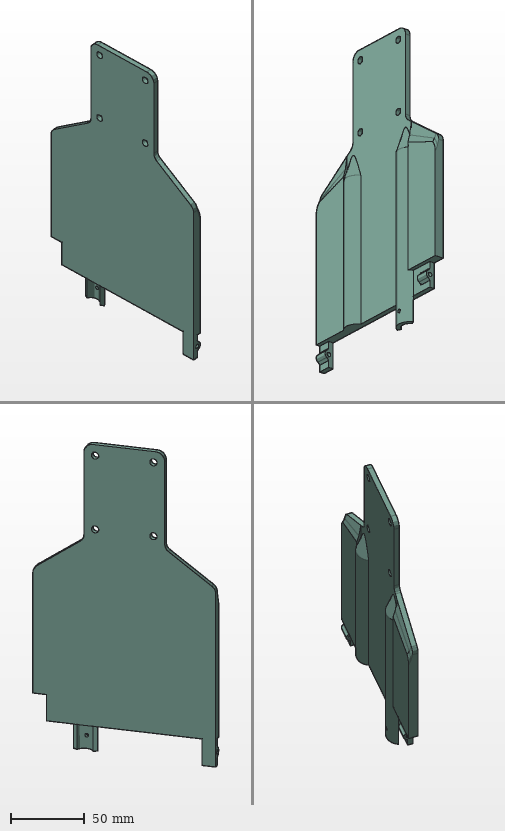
import cadquery as cq
import math

PLATE_WIDTH = 130.0
PLATE_HEIGHT = 225.55
PLATE_THICKNESS = 4.0
HALF_WIDTH = PLATE_WIDTH / 2
BODY_BOTTOM = 19.4
CORNER_RADIUS = 6.5

NECK_WIDTH = 57.5
NECK_BASE = 155.5
SHOULDER_ANGLE = 35.0
HALF_NECK = NECK_WIDTH / 2
SHOULDER_SLOPE = math.tan(math.radians(SHOULDER_ANGLE))
SHOULDER_BASE = NECK_BASE - (HALF_WIDTH - HALF_NECK) * SHOULDER_SLOPE

CORNER_TANGENT_LENGTH = CORNER_RADIUS * math.tan(math.radians((90 - SHOULDER_ANGLE) / 2))
CORNER_TANGENT_X = HALF_WIDTH - CORNER_TANGENT_LENGTH * math.cos(math.radians(SHOULDER_ANGLE))

MOUNT_HOLE_DIAMETER = 5.0
MOUNT_HOLE_INSET = 8.0
MOUNT_HOLE_PITCH = 54.0

PAD_BACK = 7.0
PAD_STEP_BACK = 5.5

PAD_STEP_INNER_DROP = 10.5
PAD_STEP_CORNER_DROP = 4.0
PAD_STEP_SIDE_DROP = 6.0
PAD_INNER_DROP = 16.5
PAD_CORNER_DROP = 7.0
PAD_SIDE_DROP = 9.5

HINGE_WIDTH = 9.75
NOTCH_TOP = 38.6
HINGE_X = HALF_WIDTH - HINGE_WIDTH
PIN_DIAMETER = 3.0
PIN_Y = 3.7
LUG_RADIUS = PAD_BACK - PIN_Y
LUG_FILLET = 4.0
NOTCH_PIN_Z = (NOTCH_TOP + BODY_BOTTOM) / 2
TAB_PIN_Z = BODY_BOTTOM / 2

RIB_X = 28.65
RIB_RADIUS = 9.53
RIB_BORE_RADIUS = 6.35
RIB_TOP = 149.0
RIB_TAPER_LENGTH = 18.0
RIB_HALF_CHORD = math.sqrt(RIB_RADIUS**2 - PLATE_THICKNESS**2)
SOCKET_HOLE_DIAMETER = 2.5

PAD_INNER = RIB_X + math.sqrt(RIB_RADIUS**2 - PAD_BACK**2)


def plate_profile():
    """Plate outline with square corners, in the XZ plane."""
    return (
        cq.Workplane("XZ")
        .moveTo(-HALF_NECK, PLATE_HEIGHT)
        .lineTo(HALF_NECK, PLATE_HEIGHT)
        .lineTo(HALF_NECK, NECK_BASE)
        .lineTo(HALF_WIDTH, SHOULDER_BASE)
        .lineTo(HALF_WIDTH, 0)
        .lineTo(HINGE_X, 0)
        .lineTo(HINGE_X, BODY_BOTTOM)
        .lineTo(-HINGE_X, BODY_BOTTOM)
        .lineTo(-HINGE_X, NOTCH_TOP)
        .lineTo(-HALF_WIDTH, NOTCH_TOP)
        .lineTo(-HALF_WIDTH, SHOULDER_BASE)
        .lineTo(-HALF_NECK, NECK_BASE)
        .close()
    )


def make_plate():
    plate = plate_profile().extrude(-PLATE_THICKNESS)
    above_notch = cq.selectors.BoxSelector(
        (-PLATE_WIDTH, 0, NOTCH_TOP + HINGE_WIDTH), (PLATE_WIDTH, PLATE_THICKNESS, 2 * PLATE_HEIGHT)
    )
    plate = plate.edges("|Y").edges(above_notch).fillet(CORNER_RADIUS)
    hole_x_pitch = NECK_WIDTH - 2 * MOUNT_HOLE_INSET
    hole_middle_z = PLATE_HEIGHT - MOUNT_HOLE_INSET - MOUNT_HOLE_PITCH / 2
    holes = (
        cq.Workplane("XZ")
        .center(0, hole_middle_z)
        .rarray(hole_x_pitch, MOUNT_HOLE_PITCH, 2, 2)
        .circle(MOUNT_HOLE_DIAMETER / 2)
        .extrude(-PLATE_THICKNESS)
    )
    return plate.cut(holes)


def pad_outline(side, back_y, inner_z, corner_top, corner_bottom, bottom):
    """Closed pad outline at one depth: sloping top, rounded outer corner, straight sides."""
    inner_x = side * PAD_INNER
    outer_x = side * HALF_WIDTH
    return (
        cq.Workplane("XZ", origin=(0, back_y, 0))
        .moveTo(inner_x, bottom)
        .lineTo(outer_x, bottom)
        .lineTo(outer_x, corner_bottom)
        .tangentArcPoint((side * CORNER_TANGENT_X, corner_top), relative=False)
        .lineTo(inner_x, inner_z)
        .close()
        .wires()
        .val()
    )


def make_pad(side, bottom):
    """Pad on one side; its upper end ramps from the shoulder edge in two slopes to its back face."""
    shoulder_inner_z = SHOULDER_BASE + (HALF_WIDTH - PAD_INNER) * SHOULDER_SLOPE
    shoulder_corner_top = SHOULDER_BASE + (HALF_WIDTH - CORNER_TANGENT_X) * SHOULDER_SLOPE
    shoulder_corner_bottom = SHOULDER_BASE - CORNER_TANGENT_LENGTH
    levels = (
        (PLATE_THICKNESS, 0, 0, 0),
        (PAD_STEP_BACK, PAD_STEP_INNER_DROP, PAD_STEP_CORNER_DROP, PAD_STEP_SIDE_DROP),
        (PAD_BACK, PAD_INNER_DROP, PAD_CORNER_DROP, PAD_SIDE_DROP),
    )
    sections = []
    for back_y, inner_drop, corner_drop, side_drop in levels:
        inner_z = shoulder_inner_z - inner_drop
        corner_top = shoulder_corner_top - corner_drop
        corner_bottom = shoulder_corner_bottom - side_drop
        sections.append(pad_outline(side, back_y, inner_z, corner_top, corner_bottom, bottom))
    return cq.Workplane(cq.Solid.makeLoft(sections, True))


def make_rib(side, bottom):
    """Rounded rib behind the plate with a conical upper end."""
    rib = (
        cq.Workplane("XZ")
        .moveTo(0, bottom)
        .lineTo(RIB_RADIUS, bottom)
        .lineTo(RIB_RADIUS, RIB_TOP - RIB_TAPER_LENGTH)
        .lineTo(PLATE_THICKNESS, RIB_TOP)
        .lineTo(0, RIB_TOP)
        .close()
        .revolve(360, (0, 0), (0, 1))
    )
    behind_plate = (
        cq.Workplane("XZ", origin=(0, PLATE_THICKNESS, 0))
        .rect(4 * RIB_RADIUS, 2 * PLATE_HEIGHT)
        .extrude(-RIB_RADIUS)
    )
    return rib.intersect(behind_plate).translate((side * RIB_X, 0, 0))


def make_socket():
    """Open half tube that continues the -X rib below the plate."""
    bore_scale = RIB_BORE_RADIUS / RIB_RADIUS
    bore_x = RIB_HALF_CHORD * bore_scale
    bore_y = PLATE_THICKNESS * bore_scale
    socket = (
        cq.Workplane("XY")
        .moveTo(-RIB_HALF_CHORD, PLATE_THICKNESS)
        .threePointArc((0, RIB_RADIUS), (RIB_HALF_CHORD, PLATE_THICKNESS))
        .lineTo(bore_x, bore_y)
        .threePointArc((0, RIB_BORE_RADIUS), (-bore_x, bore_y))
        .close()
        .extrude(BODY_BOTTOM)
    )
    hole = (
        cq.Workplane("XZ")
        .center(0, BODY_BOTTOM / 2)
        .circle(SOCKET_HOLE_DIAMETER / 2)
        .extrude(-2 * RIB_RADIUS)
    )
    return socket.cut(hole).translate((-RIB_X, 0, 0))


def make_lug(start_x, pin_z):
    """Half-round hinge lug on the back face, blended into it on both sides."""
    reach = math.sqrt((LUG_RADIUS + LUG_FILLET) ** 2 - LUG_FILLET**2)
    share = LUG_RADIUS / (LUG_RADIUS + LUG_FILLET)
    tangent_z = reach * share
    tangent_y = PIN_Y + LUG_FILLET * share
    bisector = math.atan2(LUG_FILLET, reach)
    middle_angle = (math.pi / 2 + bisector) / 2
    middle_z = reach - LUG_FILLET * math.cos(middle_angle)
    middle_y = PIN_Y + LUG_FILLET - LUG_FILLET * math.sin(middle_angle)
    return (
        cq.Workplane("YZ", origin=(start_x, 0, pin_z))
        .moveTo(PIN_Y, reach)
        .threePointArc((middle_y, middle_z), (tangent_y, tangent_z))
        .threePointArc((PIN_Y + LUG_RADIUS, 0), (tangent_y, -tangent_z))
        .threePointArc((middle_y, -middle_z), (PIN_Y, -reach))
        .close()
        .extrude(HINGE_WIDTH)
    )


def make_pin_hole(start_x, pin_z):
    return (
        cq.Workplane("YZ", origin=(start_x, PIN_Y, pin_z))
        .circle(PIN_DIAMETER / 2)
        .extrude(HINGE_WIDTH)
    )


result = make_plate()
for side, pad_bottom in ((-1, NOTCH_TOP), (1, BODY_BOTTOM)):
    result = result.union(make_pad(side, pad_bottom)).union(make_rib(side, BODY_BOTTOM))
result = result.union(make_socket())

for lug_start, lug_pin_z in ((-HINGE_X, NOTCH_PIN_Z), (HINGE_X, TAB_PIN_Z)):
    result = result.union(make_lug(lug_start, lug_pin_z))
    result = result.cut(make_pin_hole(lug_start, lug_pin_z))